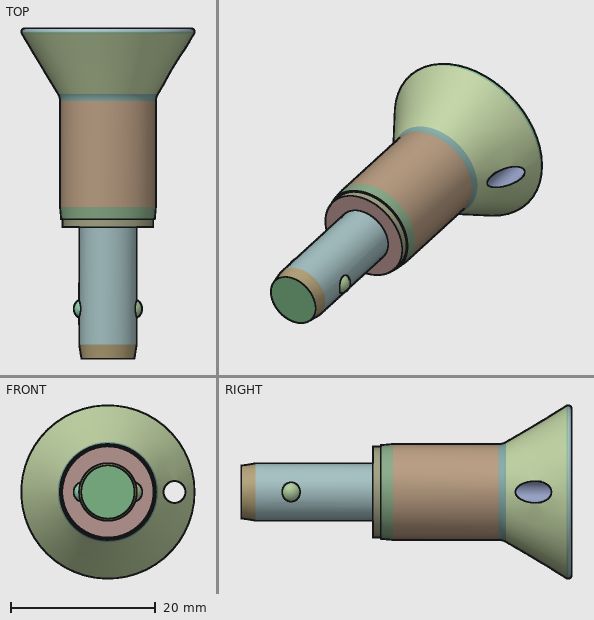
import cadquery as cq
import math


pin_diameter = 8.0
pin_length = 18.2
tip_diameter = 7.35
tip_taper_length = 2.0

ball_radius = 1.4
ball_span = 9.5
ball_from_tip = 6.9

collar_diameter = 12.6
collar_length = 1.1
sleeve_diameter = 13.3
sleeve_end_diameter = 13.0
sleeve_taper_length = 1.65

overall_length = 45.7
knob_diameter = 24.0
rim_radius = 0.5
neck_radius = 2.0
flare_angle = math.radians(31)

hole_diameter = 3.0
hole_offset = 9.2

tip_y = -pin_length
back_y = overall_length - pin_length
taper_end_y = collar_length + sleeve_taper_length
rim_center_y = back_y - rim_radius
ball_y = tip_y + ball_from_tip

pin_r = pin_diameter / 2
sleeve_r = sleeve_diameter / 2
knob_r = knob_diameter / 2
rim_center_r = knob_r - rim_radius


def arc_point(center, radius, angle):
    """Point on a circle in the (radius, Y) half-plane, angle measured from the outward direction."""
    return (center[0] + radius * math.cos(angle), center[1] + radius * math.sin(angle))


def turned_body():
    """Pin, collar, sleeve and flared knob as one revolved profile."""
    rim_center = (rim_center_r, rim_center_y)
    rim_flare = arc_point(rim_center, rim_radius, -flare_angle)

    neck_center_r = sleeve_r + neck_radius
    neck_end_r = neck_center_r - neck_radius * math.cos(flare_angle)
    neck_end_y = rim_flare[1] - (rim_flare[0] - neck_end_r) / math.tan(flare_angle)
    neck_center = (neck_center_r, neck_end_y - neck_radius * math.sin(flare_angle))
    neck_mid = arc_point(neck_center, neck_radius, math.pi - flare_angle / 2)

    profile = (
        cq.Workplane("XY")
        .moveTo(0, tip_y)
        .lineTo(tip_diameter / 2, tip_y)
        .lineTo(pin_r, tip_y + tip_taper_length)
        .lineTo(pin_r, 0)
        .lineTo(collar_diameter / 2, 0)
        .lineTo(collar_diameter / 2, collar_length)
        .lineTo(sleeve_end_diameter / 2, collar_length)
        .lineTo(sleeve_r, taper_end_y)
        .lineTo(sleeve_r, neck_center[1])
        .threePointArc(neck_mid, (neck_end_r, neck_end_y))
        .lineTo(*rim_flare)
        .threePointArc(arc_point(rim_center, rim_radius, -flare_angle / 2), (knob_r, rim_center_y))
        .threePointArc(arc_point(rim_center, rim_radius, math.radians(45)), (rim_center_r, back_y))
        .lineTo(0, back_y)
        .close()
    )
    return profile.revolve(360, (0, 0, 0), (0, 1, 0))


def locking_ball(side):
    """Ball protruding from the pin on the +X (side = 1) or -X (side = -1) flank."""
    center_x = side * (ball_span / 2 - ball_radius)
    return cq.Workplane("XY").sphere(ball_radius).translate((center_x, ball_y, 0))


def lanyard_hole():
    """Hole through the flared rim, parallel to the axis."""
    return (
        cq.Workplane("XZ", origin=(hole_offset, back_y, 0))
        .circle(hole_diameter / 2)
        .extrude(back_y - taper_end_y)
    )


result = turned_body()
for side in (-1, 1):
    result = result.union(locking_ball(side))
result = result.cut(lanyard_hole())